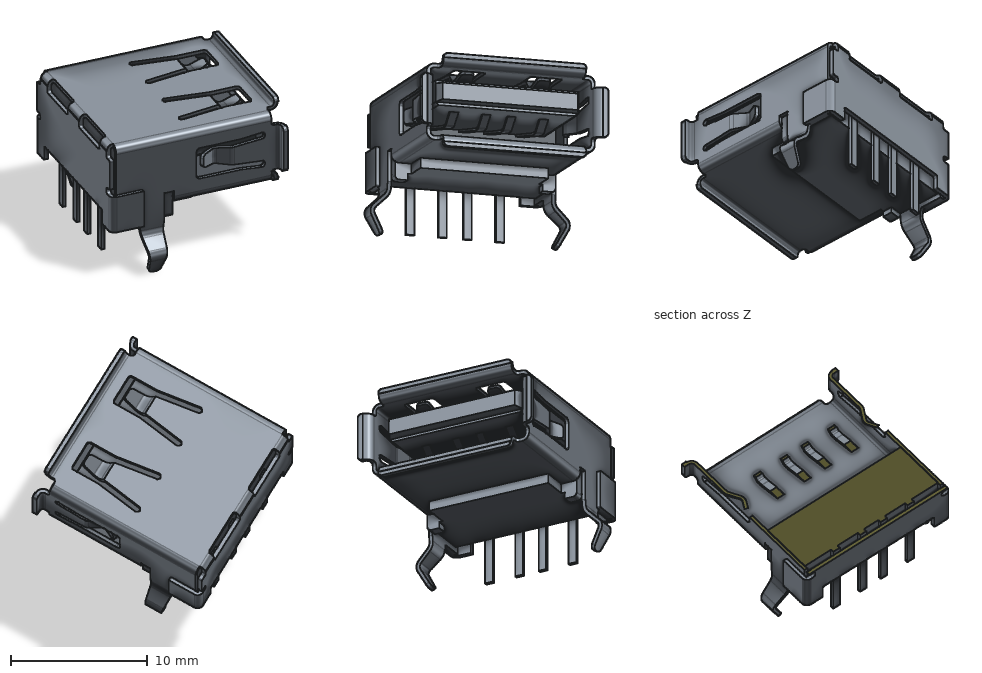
import cadquery as cq
import math

SHEET = 0.3
SHELL_WIDTH = 13.07
SHELL_HEIGHT = 5.74
SHELL_BACK = 0.55
SHELL_MOUTH = 13.0
TUBE_RADIUS = 2 * SHEET
HALF_WIDTH = SHELL_WIDTH / 2
INNER_HALF_WIDTH = HALF_WIDTH - SHEET
MID_HEIGHT = SHELL_HEIGHT / 2
FLAT_HALF_WIDTH = HALF_WIDTH - TUBE_RADIUS
SIDES = (-1, 1)

FLARE_STRAIGHT = 0.34
LIP_FRONT = 14.0
LIP_BACK = SHELL_MOUTH + FLARE_STRAIGHT + SHEET
TOP_FLARE_HALF = 5.53
SIDE_FLARE_HALF = 1.86
TOP_FLARE_RISE = 0.64
SIDE_FLARE_RISE = 0.71
LIP_CORNER = 0.31
RELIEF_FILLET = 0.2

COVER_THICKNESS = 0.34
COVER_BEND_RADIUS = SHELL_BACK - COVER_THICKNESS
COVER_BOTTOM = -1.24
COVER_BEND_Z = SHELL_HEIGHT - SHEET - COVER_BEND_RADIUS
COVER_NOTCH_Z = 4.71
COVER_CORNER = 0.19
COVER_EDGE = 0.1
COVER_WINDOW_CENTER = 2.85
COVER_WINDOW_WIDTH = 3.69
PIN_GATE_HALF = 5.24
PIN_GATE_TOP = -0.08
PIN_GATE_FILLET = 0.14
LEG_CORNER = 0.08

WING_TOP = 1.72
WING_FRONT = 2.65
WING_BEND_RADIUS = 0.46
WING_SLOT_HEIGHT = 0.53
WING_SLOT_END_RADIUS = 0.25
WING_CORNER = 0.1

FLOOR_BACK = 5.2
WALL_FRONT = 4.4
WALL_CUT_TOP = 1.0
CLIP_CENTER_Y = 3.41
CLIP_ROOT_HALF = 0.99
CLIP_TIP_HALF = 0.43
CLIP_TIP_FILLET = 0.4
CLIP_BENDS = [0.7, 0.39]
CLIP_ROOT_FILLET = 0.15
CLIP_LINE = [
    (HALF_WIDTH, COVER_BOTTOM),
    (HALF_WIDTH, -2.02),
    (7.92, -3.32),
    (6.91, -5.15),
]

SPRING_ROOT = -0.31
TOP_SPRING_X = 2.98
TOP_SPRING_ROOT_Y = 6.76
TOP_WINDOW = dict(
    end=5.74, straight_start=3.41, half_width=1.24, root_half_width=1.72,
    slot_center=1.47, slot_end_radius=0.25, corner=0.23,
)
TOP_BLADE = dict(
    line=[(SPRING_ROOT, 0), (3.24, 0), (3.77, -0.78), (5.18, -0.14)],
    bend_radii=[0, 0.55], root_half_width=1.29, tip_half_width=0.46, tip_fillet=0.25,
)
SIDE_SPRING_ROOT_Y = 12.21
SIDE_WINDOW = dict(
    end=5.24, straight_start=1.65, half_width=1.29, root_half_width=1.45,
    slot_center=1.18, slot_end_radius=0.26, corner=0.31,
)
SIDE_BLADE = dict(
    line=[(SPRING_ROOT, 0), (2.39, 0), (3.56, -0.65), (4.63, -0.1)],
    bend_radii=[0.31, 0.31], root_half_width=0.95, tip_half_width=0.53, tip_fillet=0.31,
)

BLOCK_BACK = 0.82
BLOCK_BOTTOM = -0.76
BASE_FRONT = 7.2
BASE_HALF_WIDTH = 4.96
FOOT_BOTTOM = -1.25
FOOT_RADIUS = 0.31
TONGUE_BOTTOM = 2.84
TONGUE_THICKNESS = 1.85
TONGUE_HALF_WIDTH = 5.55
TONGUE_FRONT = 12.86
TONGUE_NOSE = 0.68
TONGUE_NOSE_DROP = 0.31
TONGUE_EDGE = 0.22

CONTACTS = [(-3.49, 0.65), (-0.98, 0.62), (0.98, 0.62), (3.49, 0.65)]
CONTACT_THICKNESS = 0.17
CONTACT_BENDS = [0.15, 0.15]
CONTACT_LINE = [
    (FLOOR_BACK - 0.15, 2.7),
    (8.9, 1.97),
    (9.45, 1.97),
    (10.54, TONGUE_BOTTOM + 0.08),
]
PIN_THICKNESS = 0.26
PIN_BOTTOM = -4.25


def box(x_range, y_range, z_range):
    """Block between two X, two Y and two Z values."""
    ranges = (x_range, y_range, z_range)
    sizes = [high - low for low, high in ranges]
    corner = [low for low, high in ranges]
    return cq.Workplane("XY").box(*sizes, centered=False).translate(tuple(corner))


def fillet_at(body, point, radius):
    """Round the one edge whose middle is nearest to the point."""
    return body.edges(cq.NearestToPointSelector(point)).fillet(radius)


def parallel_line(points, distance):
    """Polyline parallel to the given one, to its left, with mitred corners."""
    headings = [
        math.atan2(end[1] - start[1], end[0] - start[0])
        for start, end in zip(points, points[1:])
    ]
    before = [headings[0]] + headings
    after = headings + [headings[-1]]
    moved = []
    for (u, w), first, second in zip(points, before, after):
        reach = distance / math.cos((second - first) / 2)
        normal = (first + second) / 2 + math.pi / 2
        moved.append((u + reach * math.cos(normal), w + reach * math.sin(normal)))
    return moved


def bent_strip(points, thickness, width, bend_radii):
    """Bent strip lying left of a polyline in XY, centred on Z = 0.

    There is one radius per bend. It belongs to the hollow side, and the other
    side is concentric with it. A radius of zero leaves a sharp fold.
    """
    other_side = parallel_line(points, thickness)
    strip = cq.Workplane("XY").polyline(points + other_side[::-1]).close()
    strip = strip.extrude(width / 2, both=True)
    for index, bend_radius in enumerate(bend_radii, start=1):
        if bend_radius == 0:
            continue
        (u0, w0), (u1, w1), (u2, w2) = points[index - 1:index + 2]
        turns_left = (u1 - u0) * (w2 - w1) - (w1 - w0) * (u2 - u1) > 0
        line_radius = bend_radius + (thickness if turns_left else 0)
        other_radius = bend_radius + (0 if turns_left else thickness)
        strip = fillet_at(strip, (*points[index], 0), line_radius)
        strip = fillet_at(strip, (*other_side[index], 0), other_radius)
    return strip


def round_tip(strip, line, center, half_width, radius):
    """Round both tip corners of a strip that lies under an (X, Z) line."""
    under = parallel_line(line, -SHEET)
    tip_x = (line[-1][0] + under[-1][0]) / 2
    tip_z = (line[-1][1] + under[-1][1]) / 2
    for side in SIDES:
        strip = fillet_at(strip, (tip_x, center + side * half_width, tip_z), radius)
    return strip


def place(body, plane):
    """Move a body from the XY frame into the given plane."""
    return cq.Workplane(body.val().moved(cq.Location(plane)))


def tube():
    """Rectangular tube with its floor and lower sides cut away at the back."""
    length = SHELL_MOUTH - SHELL_BACK
    outer = (
        cq.Workplane("XZ", origin=(0, SHELL_MOUTH, MID_HEIGHT))
        .rect(SHELL_WIDTH, SHELL_HEIGHT).extrude(length)
        .edges("|Y").fillet(TUBE_RADIUS)
    )
    inner = (
        cq.Workplane("XZ", origin=(0, SHELL_MOUTH, MID_HEIGHT))
        .rect(SHELL_WIDTH - 2 * SHEET, SHELL_HEIGHT - 2 * SHEET).extrude(length)
        .edges("|Y").fillet(TUBE_RADIUS - SHEET)
    )
    back_opening = box((-HALF_WIDTH, HALF_WIDTH), (SHELL_BACK, FLOOR_BACK), (0, WALL_CUT_TOP))
    return outer.cut(inner).cut(back_opening)


def flare(half_width, rise):
    """Flare along +X with its outer surface at Z = 0, bent toward +Z."""
    bend_center = (FLARE_STRAIGHT, SHEET)
    lip_back = LIP_BACK - SHELL_MOUTH
    lip_front = LIP_FRONT - SHELL_MOUTH
    diagonal = math.sqrt(0.5)

    def on_bend(radius):
        return (bend_center[0] + radius * diagonal, bend_center[1] - radius * diagonal)

    bend = (
        cq.Workplane("XZ")
        .moveTo(0, -SHEET).lineTo(FLARE_STRAIGHT, -SHEET)
        .threePointArc(on_bend(2 * SHEET), (FLARE_STRAIGHT + 2 * SHEET, SHEET))
        .lineTo(lip_back, SHEET)
        .threePointArc(on_bend(SHEET), (FLARE_STRAIGHT, 0))
        .lineTo(0, 0).close()
        .extrude(half_width, both=True)
    )
    lip = (
        box((lip_back, lip_front), (-half_width, half_width), (SHEET, rise))
        .edges("|X and >Z").fillet(LIP_CORNER)
    )
    return bend.union(lip)


def spring_window(end, straight_start, half_width, root_half_width,
                  slot_center, slot_end_radius, corner):
    """Cutter for a spring opening along +X, root at X = 0, outer surface at Z = 0."""
    opening = (
        cq.Workplane("XY", origin=(0, 0, -SHEET))
        .polyline([
            (0, -root_half_width), (straight_start, -half_width), (end, -half_width),
            (end, half_width), (straight_start, half_width), (0, root_half_width),
        ]).close().extrude(SHEET)
        .edges("|Z and >X").fillet(corner)
    )
    slot_ends = (
        cq.Workplane("XY", origin=(0, 0, -SHEET))
        .pushPoints([(0, -slot_center), (0, slot_center)])
        .circle(slot_end_radius).extrude(SHEET)
    )
    return opening.union(slot_ends)


def spring_blade(line, bend_radii, root_half_width, tip_half_width, tip_fillet):
    """Tapered blade along +X that follows the outer surface line (X, Z)."""
    root = line[0][0]
    tip = parallel_line(line, -SHEET)[-1][0]
    strip = bent_strip(line[::-1], SHEET, SHELL_WIDTH, bend_radii[::-1])
    strip = strip.rotate((0, 0, 0), (1, 0, 0), 90)
    taper = (
        cq.Workplane("XY")
        .polyline([
            (root, -root_half_width), (tip, -tip_half_width),
            (tip, tip_half_width), (root, root_half_width),
        ]).close().extrude(SHELL_HEIGHT / 2, both=True)
    )
    return round_tip(strip.intersect(taper), line, 0, tip_half_width, tip_fillet)


def rear_cover():
    """Rear plate with its bend from the top, its openings and its wings."""
    bend_outer = COVER_BEND_RADIUS + SHEET
    bend = (
        cq.Workplane("YZ")
        .center(SHELL_BACK, COVER_BEND_Z)
        .circle(bend_outer).circle(COVER_BEND_RADIUS)
        .extrude(FLAT_HALF_WIDTH, both=True)
        .intersect(box((-HALF_WIDTH, HALF_WIDTH), (0, SHELL_BACK), (COVER_BEND_Z, SHELL_HEIGHT)))
    )
    depth = (0, COVER_THICKNESS)
    upper_plate = box((-HALF_WIDTH, HALF_WIDTH), depth, (WING_TOP, COVER_BEND_Z))
    lower_plate = box((-FLAT_HALF_WIDTH, FLAT_HALF_WIDTH), depth, (COVER_BOTTOM, WING_TOP))
    cover = upper_plate.union(lower_plate).union(bend)

    for side in SIDES:
        window_left = side * COVER_WINDOW_CENTER - COVER_WINDOW_WIDTH / 2
        window = box(
            (window_left, window_left + COVER_WINDOW_WIDTH),
            (0, SHELL_BACK),
            (COVER_NOTCH_Z, SHELL_HEIGHT),
        )
        window = window.edges("(|Y and <Z) or (|Z and >Y)").fillet(COVER_CORNER)
        corner_x = sorted((side * FLAT_HALF_WIDTH, side * HALF_WIDTH))
        corner = box(corner_x, (0, SHELL_BACK), (COVER_NOTCH_Z, SHELL_HEIGHT))
        inner_face = "<X" if side > 0 else ">X"
        corner = corner.faces(inner_face).edges("(|Y and <Z) or (|Z and >Y)").fillet(COVER_CORNER)
        cover = cover.cut(window).cut(corner)
        cover = cover.union(wing(side)).cut(wing_slot(side))
        for edge_z in (COVER_NOTCH_Z, WING_TOP + WING_SLOT_HEIGHT):
            outer_edge = (side * HALF_WIDTH, COVER_THICKNESS / 2, edge_z)
            cover = fillet_at(cover, outer_edge, COVER_EDGE)

    gate = box((-PIN_GATE_HALF, PIN_GATE_HALF), depth, (COVER_BOTTOM, PIN_GATE_TOP))
    cover = cover.cut(gate.edges("|Y and >Z").fillet(PIN_GATE_FILLET))
    for side in SIDES:
        leg_corner = (side * PIN_GATE_HALF, COVER_THICKNESS / 2, COVER_BOTTOM)
        cover = fillet_at(cover, leg_corner, LEG_CORNER)
    return cover


def wing(side):
    """Strip that continues the cover around one side of the tube."""
    outer_x = HALF_WIDTH + SHEET
    height = WING_TOP - COVER_BOTTOM
    strip = (
        cq.Workplane("XY", origin=(0, 0, COVER_BOTTOM))
        .polyline([
            (FLAT_HALF_WIDTH, 0), (outer_x, 0), (outer_x, WING_FRONT), (HALF_WIDTH, WING_FRONT),
            (HALF_WIDTH, COVER_THICKNESS), (FLAT_HALF_WIDTH, COVER_THICKNESS),
        ]).close().extrude(height)
    )
    strip = fillet_at(strip, (outer_x, 0, COVER_BOTTOM + height / 2), WING_BEND_RADIUS)
    strip = strip.edges("|X and >Y").fillet(WING_CORNER)
    return strip if side > 0 else strip.mirror("YZ")


def wing_slot(side):
    """Relief slot with a round end, above one wing."""
    slot_x = sorted((side * FLAT_HALF_WIDTH, side * (HALF_WIDTH + SHEET)))
    slot = box(slot_x, (0, SHELL_BACK), (WING_TOP, WING_TOP + WING_SLOT_HEIGHT))
    inner_end = "<X" if side > 0 else ">X"
    return slot.edges("|Y").edges(inner_end).fillet(WING_SLOT_END_RADIUS)


def side_wall(side):
    """Flat wall below one side of the tube, ending in a bent board clip."""
    wall_x = (INNER_HALF_WIDTH, HALF_WIDTH)
    wall = box(wall_x, (SHELL_BACK, WALL_FRONT), (COVER_BOTTOM, WALL_CUT_TOP))
    strip = bent_strip(CLIP_LINE[::-1], SHEET, SHELL_WIDTH, CLIP_BENDS[::-1])
    strip = strip.rotate((0, 0, 0), (1, 0, 0), 90)
    strip = strip.translate((0, CLIP_CENTER_Y, 0))
    tip_z = CLIP_LINE[-1][1]
    taper = (
        cq.Workplane("YZ")
        .polyline([
            (CLIP_CENTER_Y - CLIP_ROOT_HALF, COVER_BOTTOM),
            (CLIP_CENTER_Y + CLIP_ROOT_HALF, COVER_BOTTOM),
            (CLIP_CENTER_Y + CLIP_TIP_HALF, tip_z),
            (CLIP_CENTER_Y - CLIP_TIP_HALF, tip_z),
        ]).close().extrude(SHELL_WIDTH)
    )
    clip = round_tip(
        strip.intersect(taper), CLIP_LINE, CLIP_CENTER_Y, CLIP_TIP_HALF, CLIP_TIP_FILLET)
    wall = wall.union(clip)
    root = (HALF_WIDTH - SHEET / 2, CLIP_CENTER_Y - CLIP_ROOT_HALF, COVER_BOTTOM)
    wall = fillet_at(wall, root, CLIP_ROOT_FILLET)
    return wall if side > 0 else wall.mirror("YZ")


def make_shell():
    """Complete sheet metal shell."""
    shell = tube().union(rear_cover())
    for side in SIDES:
        shell = shell.union(side_wall(side))

    faces = [
        ((HALF_WIDTH, MID_HEIGHT), (1, 0, 0), SIDE_FLARE_HALF, SIDE_FLARE_RISE),
        ((-HALF_WIDTH, MID_HEIGHT), (-1, 0, 0), SIDE_FLARE_HALF, SIDE_FLARE_RISE),
        ((0, SHELL_HEIGHT), (0, 0, 1), TOP_FLARE_HALF, TOP_FLARE_RISE),
        ((0, 0), (0, 0, -1), TOP_FLARE_HALF, TOP_FLARE_RISE),
    ]
    for (x, z), outward, half_width, rise in faces:
        plane = cq.Plane(origin=(x, SHELL_MOUTH, z), xDir=(0, 1, 0), normal=outward)
        shell = shell.union(place(flare(half_width, rise), plane))
        for side in SIDES:
            root = plane.toWorldCoords((0, side * half_width, -SHEET / 2))
            shell = fillet_at(shell, root.toTuple(), RELIEF_FILLET)

    for side in SIDES:
        roof = cq.Plane(
            origin=(side * TOP_SPRING_X, TOP_SPRING_ROOT_Y, SHELL_HEIGHT),
            xDir=(0, 1, 0), normal=(0, 0, 1))
        flank = cq.Plane(
            origin=(side * HALF_WIDTH, SIDE_SPRING_ROOT_Y, MID_HEIGHT),
            xDir=(0, -1, 0), normal=(side, 0, 0))
        for plane, window, blade in (
            (roof, TOP_WINDOW, TOP_BLADE), (flank, SIDE_WINDOW, SIDE_BLADE),
        ):
            shell = shell.cut(place(spring_window(**window), plane))
            shell = shell.union(place(spring_blade(**blade), plane))
    return shell


def tongue():
    """Tongue with a tapered nose and chamfered lower edges."""
    middle = TONGUE_BOTTOM + TONGUE_THICKNESS / 2
    nose_start = TONGUE_FRONT - TONGUE_NOSE
    width = 2 * TONGUE_HALF_WIDTH
    bar = (
        cq.Workplane("XZ", origin=(0, nose_start, middle))
        .rect(width, TONGUE_THICKNESS).extrude(nose_start - FLOOR_BACK)
        .edges("|Y and <Z").chamfer(TONGUE_EDGE)
    )
    nose = (
        cq.Workplane("XZ", origin=(0, nose_start, middle))
        .rect(width, TONGUE_THICKNESS - 2 * TONGUE_EDGE)
        .workplane(offset=-TONGUE_NOSE)
        .rect(width - 2 * TONGUE_NOSE_DROP, TONGUE_THICKNESS - 2 * TONGUE_NOSE_DROP)
        .loft()
    )
    return bar.union(nose)


def contact(x, width):
    """Bent contact under the tongue, with its solder pin behind the block."""
    spring = bent_strip(CONTACT_LINE, CONTACT_THICKNESS, width, CONTACT_BENDS)
    spring = place(spring, cq.Plane.named("YZ", origin=(x, 0, 0)))
    pin = box(
        (x - width / 2, x + width / 2),
        (BLOCK_BACK - PIN_THICKNESS, BLOCK_BACK),
        (PIN_BOTTOM, TONGUE_BOTTOM),
    )
    return spring.union(pin)


def make_insulator():
    """Insulator block with its base, feet, tongue and contacts."""
    body = (
        box((-INNER_HALF_WIDTH, INNER_HALF_WIDTH), (BLOCK_BACK, FLOOR_BACK),
            (BLOCK_BOTTOM, SHELL_HEIGHT - SHEET))
        .edges("|Y and >Z").fillet(TUBE_RADIUS - SHEET)
    )
    base = box((-BASE_HALF_WIDTH, BASE_HALF_WIDTH), (FLOOR_BACK, BASE_FRONT), (BLOCK_BOTTOM, 0))
    body = body.union(base).union(tongue())
    for side in SIDES:
        foot_x = sorted((side * PIN_GATE_HALF, side * INNER_HALF_WIDTH))
        foot = box(foot_x, (WALL_FRONT, FLOOR_BACK), (FOOT_BOTTOM, 0))
        outer_edge = (side * INNER_HALF_WIDTH, (WALL_FRONT + FLOOR_BACK) / 2, FOOT_BOTTOM)
        body = body.union(fillet_at(foot, outer_edge, FOOT_RADIUS))
    for x, width in CONTACTS:
        body = body.union(contact(x, width))
    return body


shell = make_shell()
insulator = make_insulator()

result = cq.Compound.makeCompound([shell.solids().val(), insulator.solids().val()])